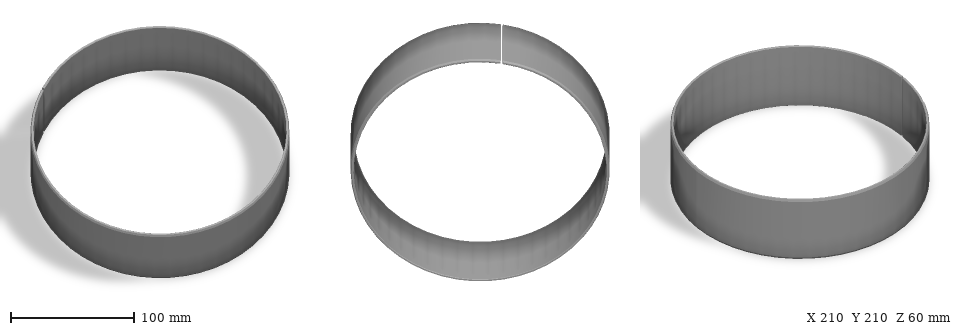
import cadquery as cq

outer_diameter = 210.0
height = 60.0
wall = 2.5
outer_chamfer_height = 1.9
outer_chamfer_depth = 0.8
inner_chamfer = 0.5
gap_width = 1.9

outer_radius = outer_diameter / 2
inner_radius = outer_radius - wall
half_height = height / 2
rim_outer_radius = outer_radius - outer_chamfer_depth
rim_inner_radius = inner_radius + inner_chamfer
outside_half_height = half_height - outer_chamfer_height
inside_half_height = half_height - inner_chamfer

ring = (
    cq.Workplane("XZ")
    .moveTo(rim_inner_radius, -half_height)
    .lineTo(rim_outer_radius, -half_height)
    .lineTo(outer_radius, -outside_half_height)
    .lineTo(outer_radius, outside_half_height)
    .lineTo(rim_outer_radius, half_height)
    .lineTo(rim_inner_radius, half_height)
    .lineTo(inner_radius, inside_half_height)
    .lineTo(inner_radius, -inside_half_height)
    .close()
    .revolve(360, (0, 0, 0), (0, 1, 0))
)

gap = (
    cq.Workplane("XY")
    .box(outer_radius, gap_width, height, centered=(False, False, True))
    .translate((-outer_radius, 0, 0))
)

result = ring.cut(gap)